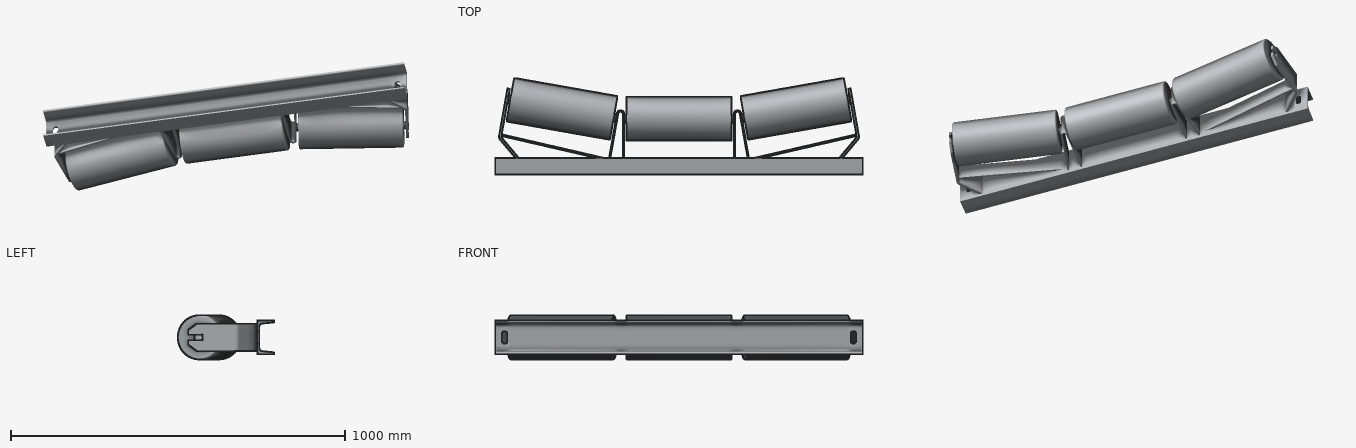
import cadquery as cq
import math


beam_length = 1100.0
beam_width = 102.0
beam_depth = 51.0
web_thickness = 6.0
flange_root_thickness = 11.0
flange_tip_thickness = 7.0
root_radius = 9.0
tip_radius = 3.8
beam_slot_length = 37.0
beam_slot_width = 16.0
beam_slot_end_distance = 29.0

roller_diameter = 133.0
roller_length = 315.0
roller_edge_radius = 4.0
spindle_diameter = 25.0
spindle_flat_width = 16.0
tilt = 10.0
middle_roller_height = 117.0
side_roller_height = 146.0
side_roller_offset = 350.0

bracket_width = 82.0
bracket_gap = 7.0
inner_bracket_thickness = 4.0
inner_bracket_crown_radius = 11.0
outer_bracket_thickness = 8.0
outer_bracket_bend_height = 59.0
outer_bracket_bend_radius = 14.0
outer_bracket_foot_angle = 40.0
outer_bracket_tip = 32.0
tip_chamfer_length = 26.0
tip_chamfer_width = 19.0
stay_thickness = 5.0
stay_width = 55.0
stay_slope = 13.0
stay_drop = 11.0

axis_direction = -tilt
leg_direction = 90.0 - tilt
foot_direction = outer_bracket_foot_angle - 90.0
stay_direction = -stay_slope

bracket_face = roller_length / 2 + bracket_gap
left_roller_centre = (-side_roller_offset, side_roller_height)


def along(point, direction, distance):
    """The point reached from `point` by going `distance` in a direction given in degrees."""
    angle = math.radians(direction)
    return (point[0] + distance * math.cos(angle), point[1] + distance * math.sin(angle))


def crossing(point, direction, other_point, other_direction):
    """Where two lines cross, each given by a point and a direction."""
    angle = math.radians(direction)
    other_angle = math.radians(other_direction)
    dx = other_point[0] - point[0]
    dy = other_point[1] - point[1]
    distance = (dx * math.sin(other_angle) - dy * math.cos(other_angle)) / math.sin(other_angle - angle)
    return along(point, direction, distance)


def at_base(point, direction):
    """Where a line meets the mounting face of the beam."""
    return crossing(point, direction, (0, 0), 0)


def plate(outline, width):
    """An outline in the XY plane, given thickness evenly about Z = 0."""
    return cq.Workplane("XY").polyline(outline).close().extrude(width / 2, both=True)


def round_corner(solid, corner, radius):
    """Rounds the one edge along Z that stands on the given corner."""
    return solid.edges(cq.selectors.NearestToPointSelector((*corner, 0))).fillet(radius)


def on_left_roller(shape):
    """Moves a shape made about a level roller at the origin onto the left roller."""
    return shape.rotate((0, 0, 0), (0, 0, 1), axis_direction).translate((*left_roller_centre, 0))


def on_middle_roller(shape):
    return shape.translate((0, middle_roller_height, 0))


def mirrored(shape):
    return shape.mirror("YZ")


def make_beam():
    half = beam_width / 2
    web_face = -web_thickness
    profile = [
        (0, -half),
        (0, half),
        (-beam_depth, half),
        (-beam_depth, half - flange_tip_thickness),
        (web_face, half - flange_root_thickness),
        (web_face, flange_root_thickness - half),
        (-beam_depth, flange_tip_thickness - half),
        (-beam_depth, -half),
    ]
    beam = cq.Workplane("YZ").polyline(profile).close().extrude(beam_length / 2, both=True)
    for side in (-1, 1):
        root = (0, web_face, side * (half - flange_root_thickness))
        tip = (0, -beam_depth, side * (half - flange_tip_thickness))
        beam = beam.edges(cq.selectors.NearestToPointSelector(root)).fillet(root_radius)
        beam = beam.edges(cq.selectors.NearestToPointSelector(tip)).fillet(tip_radius)
    slot_x = beam_length / 2 - beam_slot_end_distance
    slots = (
        cq.Workplane("XZ")
        .pushPoints([(-slot_x, 0), (slot_x, 0)])
        .slot2D(beam_slot_length, beam_slot_width, 90)
        .extrude(web_thickness)
    )
    return beam.cut(slots)


def make_roller(left_plate, right_plate):
    """A level roller at the origin whose spindle fills bracket slots of the given plate thicknesses."""
    roller = (
        cq.Workplane("YZ")
        .circle(roller_diameter / 2)
        .extrude(roller_length)
        .translate((-roller_length / 2, 0, 0))
        .edges()
        .fillet(roller_edge_radius)
    )
    for side, thickness in ((-1, left_plate), (1, right_plate)):
        neck = cq.Workplane("YZ").circle(spindle_diameter / 2).extrude(side * bracket_face)
        flats = (
            cq.Workplane("YZ", origin=(side * bracket_face, 0, 0))
            .circle(spindle_diameter / 2)
            .extrude(side * thickness)
            .intersect(cq.Workplane("XY").box(beam_length, spindle_diameter, spindle_flat_width))
        )
        roller = roller.union(neck).union(flats)
    return roller


def make_spindle_slot(side, thickness):
    """The open-topped slot for one end of a level roller at the origin."""
    depth = roller_diameter
    return cq.Workplane("XY").box(thickness, depth, spindle_flat_width).translate(
        (side * (bracket_face + thickness / 2), (depth - spindle_diameter) / 2, 0)
    )


def make_inner_bracket():
    """The left inverted U between the left roller and the middle roller."""
    thickness = inner_bracket_thickness

    def wedge(inset, radius):
        upright = (-bracket_face - inset, 0)
        leaning = along(left_roller_centre, axis_direction, bracket_face + inset)
        apex = crossing(upright, 90, leaning, leg_direction)
        solid = plate([upright, apex, at_base(leaning, leg_direction)], bracket_width)
        return round_corner(solid, apex, radius)

    outside = wedge(0, inner_bracket_crown_radius)
    inside = wedge(thickness, inner_bracket_crown_radius - thickness)
    return (
        outside.cut(inside)
        .cut(on_middle_roller(make_spindle_slot(-1, thickness)))
        .cut(on_left_roller(make_spindle_slot(1, thickness)))
    )


def make_outer_bracket():
    """The left end bracket: a slotted leg square to the roller axis, bent inward to its foot."""
    thickness = outer_bracket_thickness
    inner_leg = along(left_roller_centre, axis_direction, -bracket_face)
    outer_leg = along(inner_leg, axis_direction, -thickness)
    outer_bend = crossing(outer_leg, leg_direction, (0, outer_bracket_bend_height), 0)
    inner_foot = along(outer_bend, foot_direction + 90, thickness)
    inner_bend = crossing(inner_leg, leg_direction, inner_foot, foot_direction)
    outline = [
        along(inner_leg, leg_direction, outer_bracket_tip),
        along(outer_leg, leg_direction, outer_bracket_tip),
        outer_bend,
        at_base(outer_bend, foot_direction),
        at_base(inner_foot, foot_direction),
        inner_bend,
    ]
    bracket = plate(outline, bracket_width)
    bracket = round_corner(bracket, outer_bend, outer_bracket_bend_radius)
    bracket = round_corner(bracket, inner_bend, outer_bracket_bend_radius - thickness)
    for side in (-1, 1):
        edge = side * bracket_width / 2
        corner = (
            cq.Workplane("YZ", origin=(-bracket_face - thickness, 0, 0))
            .moveTo(outer_bracket_tip, edge)
            .lineTo(outer_bracket_tip - tip_chamfer_length, edge)
            .lineTo(outer_bracket_tip, edge - side * tip_chamfer_width)
            .close()
            .extrude(thickness)
        )
        bracket = bracket.cut(on_left_roller(corner))
    return bracket.cut(on_left_roller(make_spindle_slot(-1, thickness)))


def make_stay():
    """The left sloping strip from the leg of the outer bracket down to the beam."""
    leg = along(left_roller_centre, axis_direction, -bracket_face)
    bend_level = crossing(leg, leg_direction, (0, outer_bracket_bend_height), 0)
    upper = along(bend_level, leg_direction, stay_drop)
    lower_line = along(upper, stay_direction - 90, stay_thickness)
    outline = [
        upper,
        at_base(upper, stay_direction),
        at_base(lower_line, stay_direction),
        crossing(lower_line, stay_direction, leg, leg_direction),
    ]
    return plate(outline, stay_width)


beam = make_beam()
middle_roller = on_middle_roller(make_roller(inner_bracket_thickness, inner_bracket_thickness))
bodies = [beam.val(), middle_roller.val()]

left_bodies = [
    on_left_roller(make_roller(outer_bracket_thickness, inner_bracket_thickness)),
    make_inner_bracket(),
    make_outer_bracket(),
    make_stay(),
]
for body in left_bodies:
    bodies.append(body.val())
    bodies.append(mirrored(body).val())

result = cq.Compound.makeCompound(bodies)